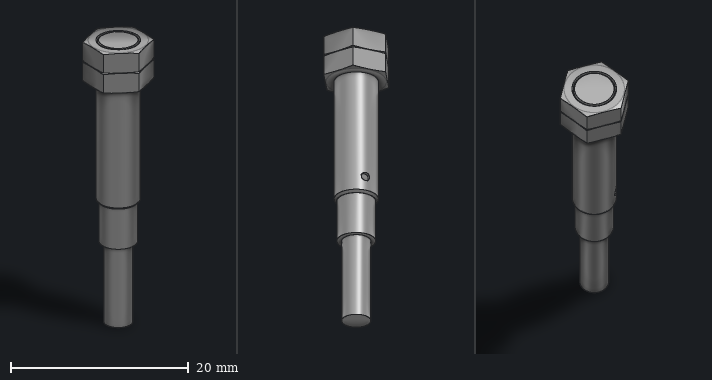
import cadquery as cq
import math

TOTAL_LENGTH = 35.0
CABLE_LENGTH = 10.0
SHOULDER_LENGTH = 5.0

CABLE_DIAMETER = 3.3
SHOULDER_DIAMETER = 4.38
BARREL_DIAMETER = 5.0
BARREL_END_DIAMETER = 4.45
BARREL_CHAMFER = (BARREL_DIAMETER - BARREL_END_DIAMETER) / 2

WINDOW_DIAMETER = 1.0
WINDOW_HEIGHT = 17.0
WINDOW_DEPTH = 0.4

NUT_COUNT = 2
NUT_ACROSS_FLATS = 7.0
NUT_ACROSS_CORNERS = NUT_ACROSS_FLATS / math.cos(math.radians(30))
NUT_THICKNESS = 2.5
NUT_FACE_DIAMETER = 6.8
NUT_CORNER_DROP = 0.1
NUT_BORE_DIAMETER = BARREL_END_DIAMETER


def cylinder(diameter, bottom, length):
    return cq.Workplane("XY").workplane(offset=bottom).circle(diameter / 2).extrude(length)


def make_sensor():
    """Cable stub, shoulder and chamfered barrel, with a shallow side window."""
    barrel_bottom = CABLE_LENGTH + SHOULDER_LENGTH
    barrel = (
        cylinder(BARREL_DIAMETER, barrel_bottom, TOTAL_LENGTH - barrel_bottom)
        .faces("<Z or >Z")
        .chamfer(BARREL_CHAMFER)
    )
    shoulder = cylinder(SHOULDER_DIAMETER, CABLE_LENGTH, SHOULDER_LENGTH)
    cable = cylinder(CABLE_DIAMETER, 0, CABLE_LENGTH)

    window = (
        cq.Workplane("YZ")
        .workplane(offset=-BARREL_DIAMETER / 2)
        .center(0, WINDOW_HEIGHT)
        .circle(WINDOW_DIAMETER / 2)
        .extrude(WINDOW_DEPTH)
    )
    return barrel.union(shoulder).union(cable).cut(window)


def make_nut(bottom, barrel_body):
    """Hexagon with conically relieved corners on both faces and a countersunk bore.

    The barrel is cut out of the nut, so the top nut meets its end chamfer in a V groove.
    """
    hexagon = (
        cq.Workplane("XY")
        .polygon(6, NUT_ACROSS_CORNERS)
        .extrude(NUT_THICKNESS)
        .rotate((0, 0, 0), (0, 0, 1), 30)
    )
    face_radius = NUT_FACE_DIAMETER / 2
    corner_radius = NUT_ACROSS_CORNERS / 2
    corner_envelope = (
        cq.Workplane("XZ")
        .polyline([
            (0, 0),
            (face_radius, 0),
            (corner_radius, NUT_CORNER_DROP),
            (corner_radius, NUT_THICKNESS - NUT_CORNER_DROP),
            (face_radius, NUT_THICKNESS),
            (0, NUT_THICKNESS),
        ])
        .close()
        .revolve(360, (0, 0), (0, 1))
    )
    bore_radius = NUT_BORE_DIAMETER / 2
    countersink_radius = BARREL_DIAMETER / 2
    countersink_depth = countersink_radius - bore_radius
    bore = (
        cq.Workplane("XZ")
        .polyline([
            (0, 0),
            (countersink_radius, 0),
            (bore_radius, countersink_depth),
            (bore_radius, NUT_THICKNESS - countersink_depth),
            (countersink_radius, NUT_THICKNESS),
            (0, NUT_THICKNESS),
        ])
        .close()
        .revolve(360, (0, 0), (0, 1))
    )
    nut = hexagon.intersect(corner_envelope).cut(bore)
    return nut.translate((0, 0, bottom)).cut(barrel_body)


sensor = make_sensor()

nuts = [
    make_nut(TOTAL_LENGTH - (index + 1) * NUT_THICKNESS, sensor)
    for index in range(NUT_COUNT)
]

result = cq.Compound.makeCompound([sensor.solids().val(), *[nut.solids().val() for nut in nuts]])